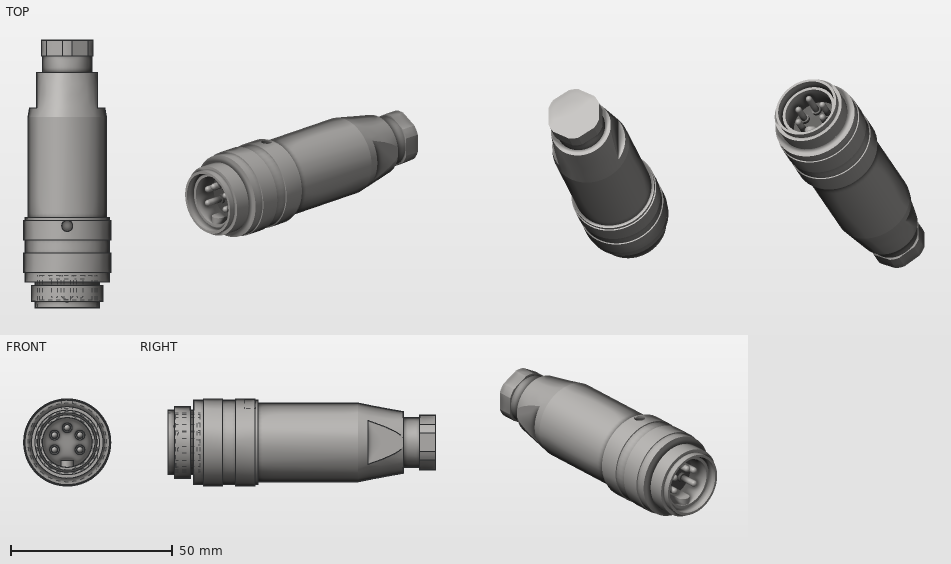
import cadquery as cq
import math


NOSE_RADIUS = 10.0
COLLAR_RADIUS = 11.1
SLEEVE_RADIUS = 13.1
GRIP_RADIUS = 13.5
BODY_RADIUS = 12.2
NECK_RADIUS = 7.7
BODY_END = 59.0
OUTSIDE_STEPS = [
    (NOSE_RADIUS, 2.0),
    (COLLAR_RADIUS, 7.0),
    (NOSE_RADIUS, 8.0),
    (SLEEVE_RADIUS, 11.0),
    (GRIP_RADIUS, 17.0),
    (SLEEVE_RADIUS, 21.0),
    (GRIP_RADIUS, 27.0),
    (SLEEVE_RADIUS, 28.0),
    (BODY_RADIUS, BODY_END),
]

TAPER_END = 73.0
TAPER_END_RADIUS = 9.55
FLAT_DISTANCE = 9.45
FLAT_START = 62.0

NUT_START = 78.0
TOTAL_LENGTH = 83.0
NUT_ACROSS_FLATS = 16.0
NUT_CORNER_RADIUS = 8.5

MARK_DIAMETER = 3.4
MARK_Y = 25.4
MARK_DEPTH = 3.0

MOUTH_RADIUS = 9.2
TUBE_RADIUS = 8.6
TUBE_START = 2.4
SOCKET_RADIUS = 7.7
SOCKET_DEPTH = 10.0

PIN_RADIUS = 1.0
PIN_CIRCLE_RADIUS = 4.55
PIN_ANGLES = [-30, 30, 90, 150, 210]
EARTH_PIN_ANGLE = 90
EARTH_PIN_TIP_Y = 1.7
PIN_TIP_Y = 3.0
PIN_BOSS_RADIUS = 1.5
PIN_BOSS_HEIGHT = 1.0

KEY_WIDTH = 4.0
KEY_TOP_Z = -5.65
KEY_FRONT_Y = 2.6


def rod(radius, start, end, x=0, z=0):
    """Cylinder along Y from start to end, centred on (x, z)."""
    base_centre = cq.Vector(x, start, z)
    return cq.Workplane(cq.Solid.makeCylinder(radius, end - start, base_centre, cq.Vector(0, 1, 0)))


def make_outside():
    """Revolved body: the front steps, the taper and the neck."""
    profile = cq.Workplane("XY").moveTo(0, 0)
    start = 0
    for radius, end in OUTSIDE_STEPS:
        profile = profile.lineTo(radius, start).lineTo(radius, end)
        start = end
    profile = profile.lineTo(TAPER_END_RADIUS, TAPER_END).lineTo(NECK_RADIUS, TAPER_END)
    profile = profile.lineTo(NECK_RADIUS, NUT_START).lineTo(0, NUT_START).close()
    return profile.revolve(360, (0, 0, 0), (0, 1, 0))


def cut_side_flats(body):
    """Flat on each X side, stopping short of the cylindrical body."""
    length = TAPER_END - FLAT_START
    for side in (-1, 1):
        cutter = cq.Workplane("XY").box(BODY_RADIUS, length, 2 * BODY_RADIUS).translate(
            (side * (FLAT_DISTANCE + BODY_RADIUS / 2), FLAT_START + length / 2, 0)
        )
        body = body.cut(cutter)
    return body


def make_nut():
    """Hexagon with two flats facing along X."""
    hexagon_diameter = NUT_ACROSS_FLATS / math.cos(math.radians(30))
    length = TOTAL_LENGTH - NUT_START
    hexagon = (
        cq.Workplane("XZ", origin=(0, NUT_START, 0))
        .polygon(6, hexagon_diameter)
        .extrude(-length)
        .rotate((0, 0, 0), (0, 1, 0), 30)
    )
    return hexagon.intersect(rod(NUT_CORNER_RADIUS, NUT_START, TOTAL_LENGTH))


def cut_mark_hole(body):
    drill = (
        cq.Workplane("XY", origin=(0, MARK_Y, GRIP_RADIUS - MARK_DEPTH))
        .circle(MARK_DIAMETER / 2)
        .extrude(2 * MARK_DEPTH)
    )
    return body.cut(drill)


def cut_socket(body):
    body = body.cut(rod(MOUTH_RADIUS, 0, SOCKET_DEPTH))
    tube = rod(TUBE_RADIUS, TUBE_START, SOCKET_DEPTH).cut(rod(SOCKET_RADIUS, TUBE_START, SOCKET_DEPTH))
    return body.union(tube)


def add_pins(body):
    boss_start = SOCKET_DEPTH - PIN_BOSS_HEIGHT
    for angle in PIN_ANGLES:
        x = PIN_CIRCLE_RADIUS * math.cos(math.radians(angle))
        z = PIN_CIRCLE_RADIUS * math.sin(math.radians(angle))
        tip_y = EARTH_PIN_TIP_Y if angle == EARTH_PIN_ANGLE else PIN_TIP_Y
        shank_start = tip_y + PIN_RADIUS
        body = body.union(rod(PIN_BOSS_RADIUS, boss_start, SOCKET_DEPTH, x, z))
        body = body.union(rod(PIN_RADIUS, shank_start, SOCKET_DEPTH, x, z))
        body = body.union(cq.Workplane("XY").sphere(PIN_RADIUS).translate((x, shank_start, z)))
    return body


def make_key():
    """Bar along the socket wall, its lower face following the wall."""
    half_width = KEY_WIDTH / 2
    round_centre_y = KEY_FRONT_Y + half_width
    bar = (
        cq.Workplane("XY", origin=(0, 0, KEY_TOP_Z))
        .moveTo(-half_width, SOCKET_DEPTH)
        .lineTo(-half_width, round_centre_y)
        .threePointArc((0, KEY_FRONT_Y), (half_width, round_centre_y))
        .lineTo(half_width, SOCKET_DEPTH)
        .close()
        .extrude(-SOCKET_RADIUS)
    )
    return bar.intersect(rod(SOCKET_RADIUS, 0, SOCKET_DEPTH))


connector = cut_side_flats(make_outside())
connector = connector.union(make_nut())
connector = cut_mark_hole(connector)
connector = cut_socket(connector)
connector = add_pins(connector)
result = connector.union(make_key())